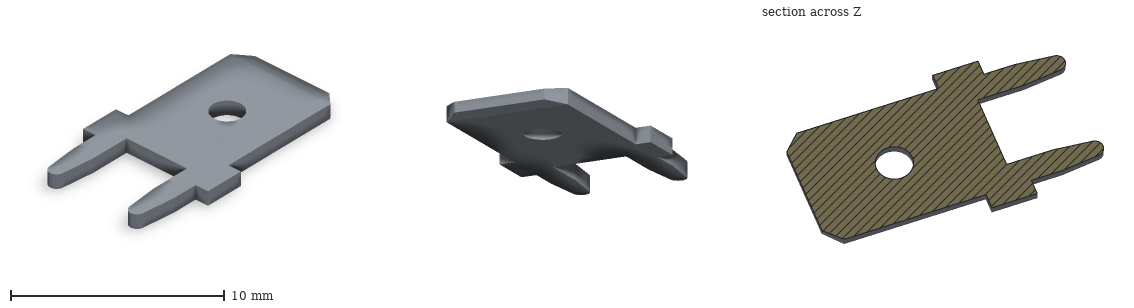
import cadquery as cq

length = 14.02
thickness = 0.81
blade_width = 6.35

lead_in_length = 0.81
lead_in_start = length - lead_in_length
lead_in_end_width = 4.71
lead_in_end_thickness = 0.53

shoulder_width = 7.92
shoulder_bottom = 3.83
shoulder_height = 2.29

pin_width = 1.26
pin_root = 4.6
pin_taper_start = 2.3
pin_tip_radius = 0.43
pin_spacing = blade_width - pin_width

hole_diameter = 1.78
hole_from_blade_end = 4.51


def make_blade():
    """Blade plate with the two blade-end corners cut off."""
    blade_half = blade_width / 2
    end_half = lead_in_end_width / 2
    return (
        cq.Workplane("XY")
        .moveTo(-blade_half, pin_root)
        .lineTo(blade_half, pin_root)
        .lineTo(blade_half, lead_in_start)
        .lineTo(end_half, length)
        .lineTo(-end_half, length)
        .lineTo(-blade_half, lead_in_start)
        .close()
        .extrude(thickness)
    )


def make_shoulder(side):
    """Shoulder block reaching from the pin's inner edge to the outside."""
    inner = blade_width / 2 - pin_width
    outer = shoulder_width / 2
    return (
        cq.Workplane("XY")
        .center(side * (inner + outer) / 2, shoulder_bottom + shoulder_height / 2)
        .rect(outer - inner, shoulder_height)
        .extrude(thickness)
    )


def make_pin(side):
    """Pin that tapers to a round tip."""
    pin_half = pin_width / 2
    return (
        cq.Workplane("XY")
        .center(side * pin_spacing / 2, 0)
        .moveTo(-pin_half, pin_root)
        .lineTo(-pin_half, pin_taper_start)
        .lineTo(-pin_tip_radius, pin_tip_radius)
        .threePointArc((0, 0), (pin_tip_radius, pin_tip_radius))
        .lineTo(pin_half, pin_taper_start)
        .lineTo(pin_half, pin_root)
        .close()
        .extrude(thickness)
    )


def bevel_blade_end(body):
    """Thin the blade end evenly from the upper and lower faces."""
    bevel_depth = (thickness - lead_in_end_thickness) / 2
    for face_z, end_z in ((0, bevel_depth), (thickness, thickness - bevel_depth)):
        wedge = (
            cq.Workplane("YZ")
            .moveTo(lead_in_start, face_z)
            .lineTo(length, face_z)
            .lineTo(length, end_z)
            .close()
            .extrude(blade_width / 2, both=True)
        )
        body = body.cut(wedge)
    return body


def cut_latch_hole(body):
    """Round hole through the blade on its centreline."""
    hole = (
        cq.Workplane("XY")
        .center(0, length - hole_from_blade_end)
        .circle(hole_diameter / 2)
        .extrude(thickness)
    )
    return body.cut(hole)


terminal = make_blade()
for side in (-1, 1):
    terminal = terminal.union(make_shoulder(side))
    terminal = terminal.union(make_pin(side))
terminal = terminal.clean()
terminal = bevel_blade_end(terminal)
result = cut_latch_hole(terminal)